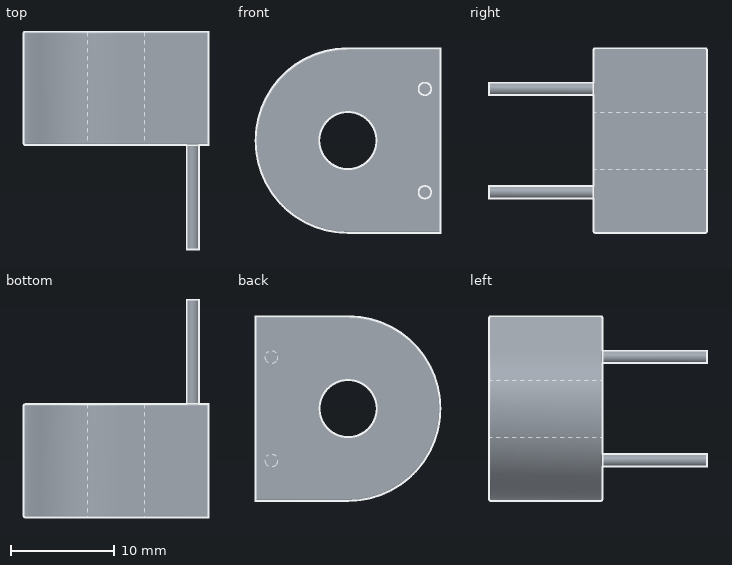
import cadquery as cq

radius = 8.95
bore_to_flat = 8.97
depth = 11.0
edge_round = 0.2
bore_diameter = 5.5

total_length = 21.1
pin_length = total_length - depth
pin_diameter = 1.22
pin_spacing = 10.0
pin_inset = 1.52


def make_housing():
    """D-shaped block from Y = 0 to Y = depth, rounded along its curved outline."""
    block = (
        cq.Workplane("XZ")
        .moveTo(bore_to_flat, radius)
        .lineTo(0, radius)
        .threePointArc((-radius, 0), (0, -radius))
        .lineTo(bore_to_flat, -radius)
        .close()
        .extrude(-depth)
    )
    block = block.faces("<Y or >Y").edges("not(>X)").fillet(edge_round)
    bore = cq.Workplane("XZ").circle(bore_diameter / 2).extrude(-depth)
    return block.cut(bore)


def make_pins():
    """Two round pins, one above and one below the bore axis."""
    pin_x = bore_to_flat - pin_inset
    return (
        cq.Workplane("XZ")
        .pushPoints([(pin_x, side * pin_spacing / 2) for side in (-1, 1)])
        .circle(pin_diameter / 2)
        .extrude(pin_length)
    )


result = make_housing().union(make_pins())